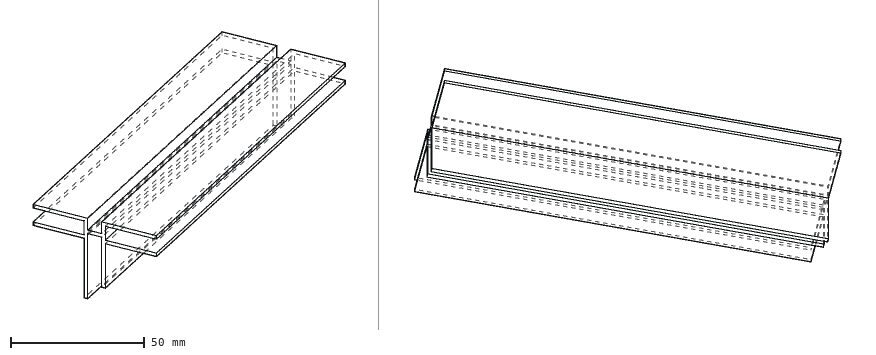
import cadquery as cq

length = 152.4
width = 52.3
height = 34.5

wall = 1.5
upright_gap = 6.0
flange_gap = 6.0
web_depth = 5.0
short_upright_height = 28.0

inner_x = upright_gap / 2
flange_length = width / 2 - inner_x
lower_flange_depth = wall + flange_gap


def bar(left, depth, size_x, size_z):
    """Full-length bar; depth is measured from the top face to the bar's top."""
    top_z = height / 2 - depth
    return cq.Workplane("XY").box(size_x, length, size_z, centered=(False, True, False)).translate(
        (left, 0, top_z - size_z)
    )


left_upright = bar(-inner_x - wall, 0, wall, height)
right_upright = bar(inner_x, 0, wall, short_upright_height)

web = bar(-inner_x - wall, web_depth, upright_gap + 2 * wall, wall)

result = left_upright.union(right_upright).union(web)

for flange_depth in (0, lower_flange_depth):
    for flange_left in (-width / 2, inner_x):
        result = result.union(bar(flange_left, flange_depth, flange_length, wall))

result = result.clean()